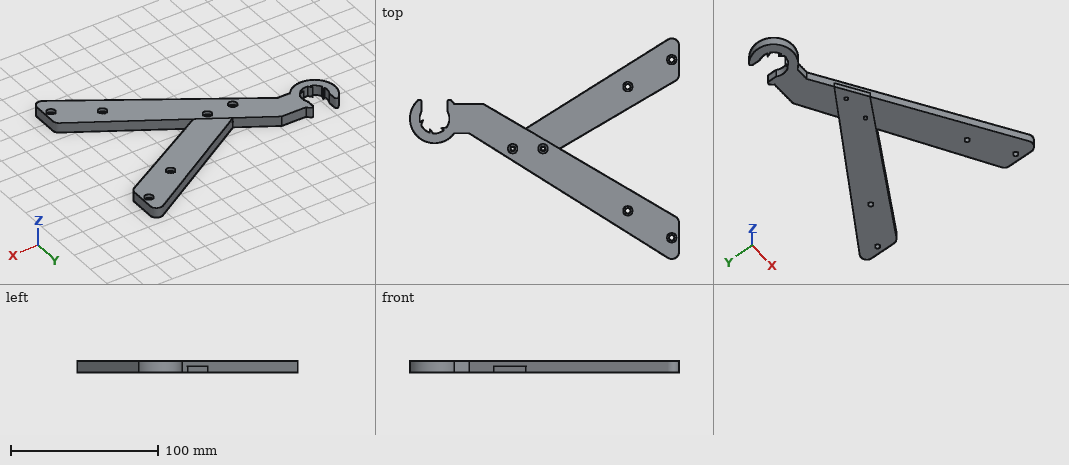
import cadquery as cq
import math

thickness = 8.0
lap_height = 4.3
arm_end_x = 91.37
outer_edge_angle = 32.07
inner_edge_angle = 30.4
outer_crossing_x = -34.58
inner_crossing_x = 10.4
end_fillet = 5.0

hook_radius = 16.75
bore_radius = 10.0
hook_x = hook_radius - arm_end_x
hook_y = 20.4
slot_width = 17.4
hook_tip_fillet = 1.5
neck_width = 20.0

tooth_count = 3
first_tooth_angle = 187.5
tooth_pitch_angle = 58.5
tooth_lean_angle = 5.0
tooth_root_angle = 14.0
tooth_tip_radius = 7.8
tooth_embed = 0.3

clearance_diameter = 3.5
pilot_diameter = 2.5
counterbore_diameter = 6.5
counterbore_depth = 2.7
mount_hole_points = [(56.5, 42.1), (86.3, 60.4)]
lap_hole_points = [(-21.6, 0), (-1.0, 0)]

outer_slope = math.tan(math.radians(outer_edge_angle))
inner_slope = math.tan(math.radians(inner_edge_angle))

end_outer_y = outer_slope * (arm_end_x - outer_crossing_x)
end_inner_y = inner_slope * (arm_end_x - inner_crossing_x)


def prism(points, height=thickness, base=0.0):
    return cq.Workplane("XY").workplane(offset=base).polyline(points).close().extrude(height)


def cylinders(points, diameter, height=thickness, base=0.0):
    return cq.Workplane("XY").workplane(offset=base).pushPoints(points).circle(diameter / 2).extrude(height)


def counterbored_cutter(points):
    bores = cylinders(points, counterbore_diameter, counterbore_depth, thickness - counterbore_depth)
    return cylinders(points, clearance_diameter).union(bores)


def round_arm_end(arm):
    return arm.edges("|Z and >X").fillet(end_fillet)


def hook_polar(radius, angle):
    turn = math.radians(angle)
    return (hook_x + radius * math.cos(turn), hook_y + radius * math.sin(turn))


def bore_tooth(tip_angle):
    root_start = tip_angle + tooth_lean_angle
    root_end = root_start + tooth_root_angle
    embedded_radius = bore_radius + tooth_embed
    return prism([
        hook_polar(tooth_tip_radius, tip_angle),
        hook_polar(bore_radius, root_start),
        hook_polar(embedded_radius, root_start),
        hook_polar(embedded_radius, root_end),
        hook_polar(bore_radius, root_end),
    ])


neck_top_y = hook_y + neck_width / 2
neck_bottom_y = hook_y - neck_width / 2
hook_arm_outline = [
    (hook_x, neck_top_y),
    (inner_crossing_x - neck_top_y / inner_slope, neck_top_y),
    (arm_end_x, -end_inner_y),
    (arm_end_x, -end_outer_y),
    (outer_crossing_x - neck_bottom_y / outer_slope, neck_bottom_y),
    (hook_x, neck_bottom_y),
]

tongue_tip_x = (
    (outer_slope * outer_crossing_x + inner_slope * inner_crossing_x) / (outer_slope + inner_slope)
)
tongue_tip_y = inner_slope * (tongue_tip_x - inner_crossing_x)
cross_arm_outline = [
    (outer_crossing_x, 0),
    (arm_end_x, end_outer_y),
    (arm_end_x, end_inner_y),
    (tongue_tip_x, tongue_tip_y),
]


def make_hook_arm():
    hook_center = [(hook_x, hook_y)]
    arm = round_arm_end(prism(hook_arm_outline))
    arm = arm.union(cylinders(hook_center, 2 * hook_radius))

    slot = (
        cq.Workplane("XY")
        .center(hook_x, hook_y + hook_radius / 2)
        .rect(slot_width, hook_radius)
        .extrude(thickness)
    )
    arm = arm.cut(cylinders(hook_center, 2 * bore_radius)).cut(slot)
    arm = arm.edges("|Z").edges(">Y").fillet(hook_tip_fillet)

    for index in range(tooth_count):
        arm = arm.union(bore_tooth(first_tooth_angle + index * tooth_pitch_angle))

    arm = arm.cut(prism(cross_arm_outline, lap_height))

    mount_points = [(x, -y) for x, y in mount_hole_points]
    return arm.cut(counterbored_cutter(mount_points + lap_hole_points)).solids()


def make_cross_arm():
    arm = round_arm_end(prism(cross_arm_outline))
    arm = arm.cut(prism(hook_arm_outline, thickness - lap_height, lap_height))
    arm = arm.cut(counterbored_cutter(mount_hole_points))
    return arm.cut(cylinders(lap_hole_points, pilot_diameter)).solids()


hook_arm = make_hook_arm()
cross_arm = make_cross_arm()

result = cq.Compound.makeCompound([hook_arm.val(), cross_arm.val()])